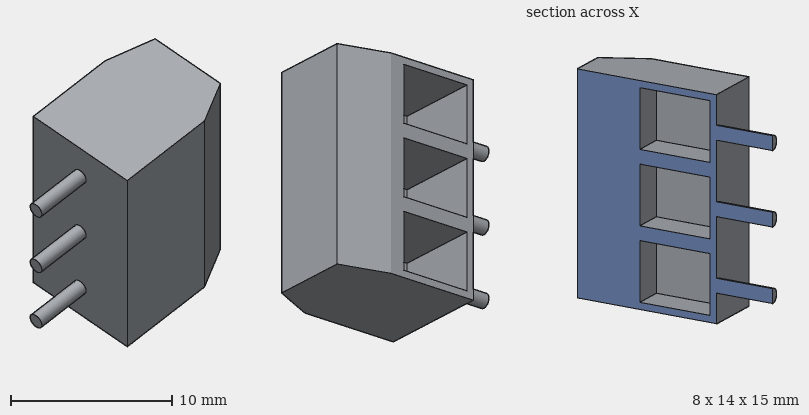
import cadquery as cq

pole_count = 3
height = 15.0
pitch = height / pole_count
width = 8.0
body_depth = 9.99

left_slope_width = 0.98
left_slope_length = 3.5
right_slope_width = 1.47
right_slope_length = 3.0

pocket_length = 5.0
pocket_height = 4.0
pocket_depth = 6.0
pocket_front_wall = 0.5

pin_diameter = 1.0
pin_length = 4.0

pole_heights = [(index + 0.5) * pitch for index in range(pole_count)]


def make_body():
    """Extrude the housing outline; the front face lies at Y = 0."""
    left = -width / 2
    right = width / 2
    outline = [
        (left, 0),
        (right, 0),
        (right, body_depth - right_slope_length),
        (right - right_slope_width, body_depth),
        (left + left_slope_width, body_depth),
        (left, body_depth - left_slope_length),
    ]
    return cq.Workplane("XY").polyline(outline).close().extrude(height)


def make_pocket(z):
    """Rectangular wire pocket centred at height z."""
    return (
        cq.Workplane("XY")
        .box(pocket_depth, pocket_length, pocket_height, centered=(False, False, True))
        .translate((-width / 2, pocket_front_wall, z))
    )


def make_pin(z):
    """Round pin pointing to -Y at height z."""
    return cq.Workplane("XZ").center(0, z).circle(pin_diameter / 2).extrude(pin_length)


result = make_body()
for pole_z in pole_heights:
    result = result.cut(make_pocket(pole_z)).union(make_pin(pole_z))